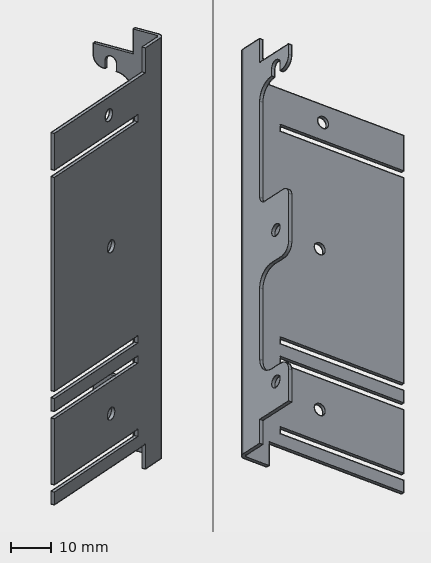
import cadquery as cq

WIDTH = 20.0
DEPTH = 50.0
HEIGHT = 113.5
THICKNESS = 1.0
BEND_OUTER_RADIUS = 1.7
BEND_INNER_RADIUS = BEND_OUTER_RADIUS - THICKNESS

END_STEP = 6.7
PLATE_BOTTOM = END_STEP
PLATE_TOP = HEIGHT - END_STEP

TAB_LENGTH = 11.6
HOOK_BOTTOM = 100.8
MIDDLE_TAB_TOP = 67.0
MIDDLE_TAB_BOTTOM = 48.5
LOWER_TAB_TOP = 18.7
ROOT_RADIUS = 4.9
CORNER_RADIUS = 3.1
SMALL_RADIUS = 2.0

HOLE_DIAMETER = 3.3
TAB_HOLE_X = 5.1
TAB_HOLE_HEIGHTS = (14.4, 56.9)
NOTCH_CENTER_Z = 103.0

RIB_DEPTH = 8.6
SLOT_START = 12.0
SLOT_WIDTH = 1.9
SLOT_HEIGHTS = (11.1, 30.9, 36.3, 95.9)
SIDE_HOLES = ((-25.2, 101.9), (-24.2, 66.2), (-24.2, 21.1))


def block(x_range, y_range, z_range):
    """Box spanning the given coordinate ranges."""
    sizes = [high - low for low, high in (x_range, y_range, z_range)]
    corner = (x_range[0], y_range[0], z_range[0])
    return cq.Workplane("XY").box(*sizes, centered=False).translate(corner)


def bent_sheet():
    """Full-height L section with a rounded bend."""
    section = (
        cq.Workplane("XY")
        .polyline([
            (0, 0),
            (WIDTH, 0),
            (WIDTH, -DEPTH),
            (WIDTH - THICKNESS, -DEPTH),
            (WIDTH - THICKNESS, -THICKNESS),
            (0, -THICKNESS),
        ])
        .close()
        .extrude(HEIGHT)
    )
    section = section.edges("|Z and >X and >Y").fillet(BEND_OUTER_RADIUS)
    inner_corner = cq.selectors.NearestToPointSelector(
        (WIDTH - THICKNESS, -THICKNESS, HEIGHT / 2)
    )
    return section.edges(inner_corner).fillet(BEND_INNER_RADIUS)


def recess(bottom, top, lower_root, upper_root, lower_corner, upper_corner):
    """Cutter between two tabs, rounding its roots and the adjoining tab corners."""
    outline = (
        cq.Workplane("XZ")
        .moveTo(0, bottom - lower_corner)
        .radiusArc((lower_corner, bottom), lower_corner)
        .lineTo(TAB_LENGTH - lower_root, bottom)
        .radiusArc((TAB_LENGTH, bottom + lower_root), -lower_root)
        .lineTo(TAB_LENGTH, top - upper_root)
        .radiusArc((TAB_LENGTH - upper_root, top), -upper_root)
        .lineTo(upper_corner, top)
        .radiusArc((0, top + upper_corner), upper_corner)
        .close()
    )
    return outline.extrude(THICKNESS)


def cut_tabs(body):
    """Shape the narrow flange into a hook, a middle tab and a lower tab."""
    flange_y = (-THICKNESS, 0)
    for z_range in ((0, PLATE_BOTTOM), (PLATE_TOP, HEIGHT)):
        body = body.cut(block((0, TAB_LENGTH), flange_y, z_range))
    body = body.cut(recess(
        LOWER_TAB_TOP, MIDDLE_TAB_BOTTOM, ROOT_RADIUS, ROOT_RADIUS, CORNER_RADIUS, CORNER_RADIUS
    ))
    body = body.cut(recess(
        MIDDLE_TAB_TOP, HOOK_BOTTOM, SMALL_RADIUS, ROOT_RADIUS, SMALL_RADIUS, CORNER_RADIUS
    ))
    round_centers = [(TAB_HOLE_X, z) for z in (*TAB_HOLE_HEIGHTS, NOTCH_CENTER_Z)]
    holes = (
        cq.Workplane("XZ")
        .pushPoints(round_centers)
        .circle(HOLE_DIAMETER / 2)
        .extrude(THICKNESS)
    )
    notch_x = (TAB_HOLE_X - HOLE_DIAMETER / 2, TAB_HOLE_X + HOLE_DIAMETER / 2)
    notch = block(notch_x, flange_y, (HOOK_BOTTOM, NOTCH_CENTER_Z))
    return body.cut(holes).cut(notch)


def cut_side_plate(body):
    """Step, slot and drill the wide plate."""
    plate_x = (WIDTH - THICKNESS, WIDTH)
    for z_range in ((0, PLATE_BOTTOM), (PLATE_TOP, HEIGHT)):
        body = body.cut(block(plate_x, (-DEPTH, -RIB_DEPTH), z_range))
    for z in SLOT_HEIGHTS:
        slot_z = (z - SLOT_WIDTH / 2, z + SLOT_WIDTH / 2)
        body = body.cut(block(plate_x, (-DEPTH, -SLOT_START), slot_z))
    holes = (
        cq.Workplane("YZ", origin=(WIDTH - THICKNESS, 0, 0))
        .pushPoints(SIDE_HOLES)
        .circle(HOLE_DIAMETER / 2)
        .extrude(THICKNESS)
    )
    return body.cut(holes)


result = cut_side_plate(cut_tabs(bent_sheet()))